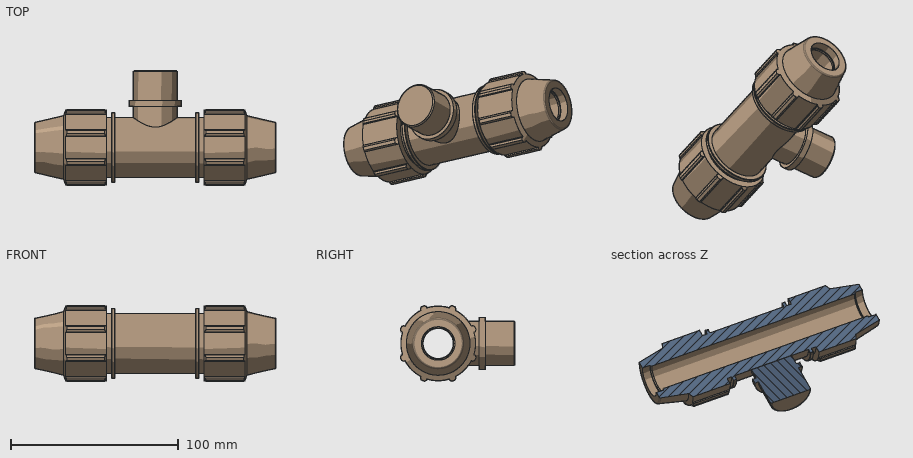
import cadquery as cq

run_length = 144.0
run_half = run_length / 2
tube_diameter = 36.0

collar_diameter = 41.8
collar_width = 2.2
collar_chamfer = 0.3
collar_inner_x = 24.0

nut_diameter = 44.6
nut_inner_x = 29.0
nut_length = 25.8
nut_outer_x = nut_inner_x + nut_length
nut_bevel_length = 1.3

nose_base_diameter = 38.0
nose_tip_diameter = 30.0
nose_rounding = 0.7

rib_count = 8
rib_diameter = 48.1
rib_width = 4.0
rib_chamfer = 1.0
rib_end_bevel_length = 1.3

bore_diameter = 18.0
bore_edge_diameter = 18.6
mouth_diameter = 20.0
mouth_depth = 4.9
bore_bevel_length = 0.9

branch_diameter = 26.5
branch_end_y = 46.0
branch_chamfer = 0.7
flange_diameter = 31.1
flange_inner_y = 24.5
flange_width = 3.6


def cylinder_along_x(diameter, start_x, end_x):
    return cq.Workplane("YZ", origin=(start_x, 0, 0)).circle(diameter / 2).extrude(end_x - start_x)


def cylinder_along_y(diameter, start_y, end_y):
    """Cylinder centred on the Y axis."""
    plane = cq.Plane(origin=(0, start_y, 0), xDir=(1, 0, 0), normal=(0, 1, 0))
    return cq.Workplane(plane).circle(diameter / 2).extrude(end_y - start_y)


def revolve_about_x(points):
    """Turn an outline of (x, radius) points about the X axis."""
    return cq.Workplane("XY").polyline(points).close().revolve(360, (0, 0, 0), (1, 0, 0))


def make_ribs():
    """Ring of nut ribs, each reaching in far enough to merge with the nut wall."""
    root_radius = tube_diameter / 2
    rib_height = rib_diameter / 2 - root_radius
    rib = (
        cq.Workplane("XY")
        .box(nut_length, rib_width, rib_height, centered=(False, True, False))
        .translate((nut_inner_x, 0, root_radius))
        .edges("|X and >Z")
        .chamfer(rib_chamfer)
    )
    pitch = 360 / rib_count
    ribs = cq.Workplane("XY")
    for index in range(rib_count):
        ribs = ribs.add(rib.rotate((0, 0, 0), (1, 0, 0), pitch * (index + 0.5)))
    return ribs.combine()


def make_nut():
    """Ribbed nut on the +X side, with its outer face and the rib ends cut to cones."""
    nut_radius = nut_diameter / 2
    rib_radius = rib_diameter / 2
    nose_radius = nose_base_diameter / 2
    outer_bevel_length = nut_bevel_length * (rib_radius - nose_radius) / (nut_radius - nose_radius)
    envelope = revolve_about_x([
        (nut_inner_x, 0),
        (nut_inner_x, nut_radius),
        (nut_inner_x + rib_end_bevel_length, rib_radius),
        (nut_outer_x - outer_bevel_length, rib_radius),
        (nut_outer_x, nose_radius),
        (nut_outer_x, 0),
    ])
    blank = cylinder_along_x(nut_diameter, nut_inner_x, nut_outer_x)
    return blank.union(make_ribs()).intersect(envelope)


def make_nose():
    nose = revolve_about_x([
        (nut_outer_x, 0),
        (nut_outer_x, nose_base_diameter / 2),
        (run_half, nose_tip_diameter / 2),
        (run_half, 0),
    ])
    return nose.faces(">X").edges().fillet(nose_rounding)


def make_collar():
    collar = cylinder_along_x(collar_diameter, collar_inner_x, collar_inner_x + collar_width)
    return collar.edges().chamfer(collar_chamfer)


def make_run_end():
    """Collar, nut and nose at the +X end."""
    return make_nut().union(make_nose()).union(make_collar())


def make_mouth():
    """Cutter for the wider mouth at the +X end and the bevel at the start of the bore."""
    mouth_floor_x = run_half - mouth_depth
    bevel_end_x = mouth_floor_x - bore_bevel_length
    return revolve_about_x([
        (bevel_end_x, 0),
        (bevel_end_x, bore_diameter / 2),
        (mouth_floor_x, bore_edge_diameter / 2),
        (mouth_floor_x, mouth_diameter / 2),
        (run_half, mouth_diameter / 2),
        (run_half, 0),
    ])


def make_run():
    end = make_run_end()
    mouth = make_mouth()
    run = cylinder_along_x(tube_diameter, -nut_outer_x, nut_outer_x)
    run = run.union(end).union(end.mirror("YZ"))
    run = run.cut(cylinder_along_x(bore_diameter, -run_half, run_half))
    return run.cut(mouth).cut(mouth.mirror("YZ"))


def make_branch():
    """Flanged spigot whose inner end is saddled onto the tube."""
    spigot = cylinder_along_y(branch_diameter, 0, branch_end_y)
    spigot = spigot.faces(">Y").edges().chamfer(branch_chamfer)
    flange = cylinder_along_y(flange_diameter, flange_inner_y, flange_inner_y + flange_width)
    return spigot.union(flange).cut(cylinder_along_x(tube_diameter, -run_half, run_half))


run = make_run()
branch = make_branch()
result = cq.Compound.makeCompound([run.val(), branch.val()])